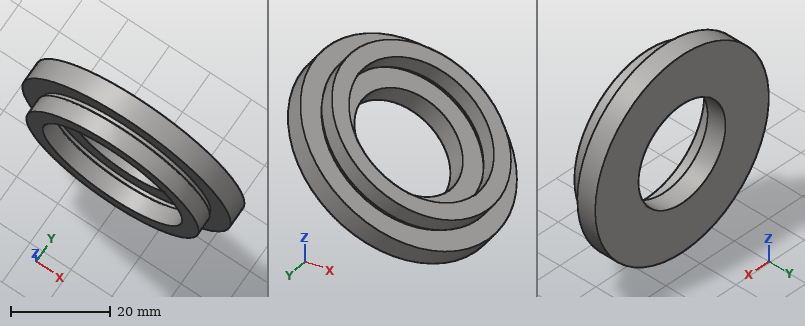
import cadquery as cq

flange_diameter = 50.8
rim_diameter = 42.0
recess_diameter = 34.0
bore_diameter = flange_diameter / 2
total_thickness = 10.0
rim_width = 4.0
groove_width = 1.0
groove_depth = 0.5

outer_groove_diameter = rim_diameter - 2 * groove_depth
inner_groove_diameter = recess_diameter + 2 * groove_depth

flange_start = rim_width + groove_width
flange_thickness = total_thickness - flange_start


def disc(diameter, start, length):
    """Solid disc about the Y axis, growing from y = start toward +Y."""
    base = cq.Workplane("XZ", origin=(0, start, 0))
    return base.circle(diameter / 2).extrude(-length)


body = disc(rim_diameter, 0, rim_width)
body = body.union(disc(outer_groove_diameter, rim_width, groove_width))
body = body.union(disc(flange_diameter, flange_start, flange_thickness))

body = body.cut(disc(recess_diameter, 0, rim_width))
body = body.cut(disc(inner_groove_diameter, rim_width, groove_width))

result = body.cut(disc(bore_diameter, 0, total_thickness))